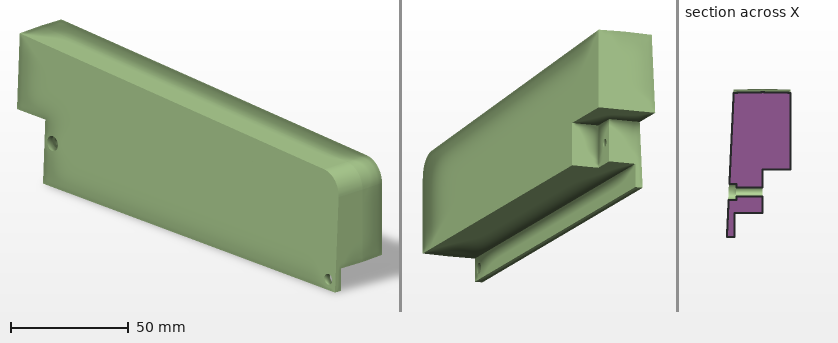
import cadquery as cq
import math

length = 199.3
depth = 27.3
height = 63.0

seam_depth = 12.0
side_draft_angle = 3.0
top_draft_angle = 1.2
top_slope_angle = 3.0
front_slope_angle = 2.7
corner_radius = 10.0

flange_back = 24.0
body_bottom = 10.2
notch_length = 17.5
back_notch_length = 29.9
notch_height = 28.7

left_hole_x = 22.5
left_hole_z = 19.3
left_hole_diameter = 3.5
left_counterbore_diameter = 6.5
left_counterbore_depth = 4.0
right_hole_x = 194.0
right_hole_z = 4.8
right_hole_diameter = 4.8

margin = 10.0


def draw_outline(plane, setback):
    """Outline at a given distance from the seam, closed beyond the left and bottom faces."""
    slope = math.radians(top_slope_angle)
    right = length - setback * math.tan(math.radians(side_draft_angle))
    top_left = height - setback * math.tan(math.radians(top_draft_angle))
    top_right = top_left - right * math.tan(slope)
    half_turn = (math.pi / 2 - slope) / 2
    tangent_length = corner_radius * math.tan(half_turn)
    centre_x = right - corner_radius
    centre_z = top_right - tangent_length
    arc_middle = (
        centre_x + corner_radius * math.cos(half_turn),
        centre_z + corner_radius * math.sin(half_turn),
    )
    arc_end = (
        right - tangent_length * math.cos(slope),
        top_right + tangent_length * math.sin(slope),
    )
    return (
        plane.moveTo(-margin, -margin)
        .lineTo(right, -margin)
        .lineTo(right, centre_z)
        .threePointArc(arc_middle, arc_end)
        .lineTo(-margin, top_left + margin * math.tan(slope))
        .close()
    )


def drafted_half(extent):
    """Half of the body, shrinking away from the seam; a positive extent runs toward the front."""
    seam_outline = draw_outline(cq.Workplane("XZ", origin=(0, -seam_depth, 0)), 0)
    end_plane = seam_outline.workplane(offset=extent, origin=(0, -seam_depth, 0))
    return draw_outline(end_plane, abs(extent)).loft(ruled=True)


def side_profile():
    """Depth profile with the leaning front face and the step behind the flange."""
    top = height + margin
    lean = top * math.tan(math.radians(front_slope_angle))
    return (
        cq.Workplane("YZ")
        .moveTo(0, body_bottom)
        .lineTo(-flange_back, body_bottom)
        .lineTo(-flange_back, 0)
        .lineTo(-depth, 0)
        .lineTo(-depth + lean, top)
        .lineTo(0, top)
        .close()
        .extrude(length)
    )


def hole(x, z, diameter, hole_depth):
    """Round cutter along Y, entering from the front."""
    return (
        cq.Workplane("XZ", origin=(x, 0, z))
        .workplane(offset=depth - hole_depth)
        .circle(diameter / 2)
        .extrude(hole_depth)
    )


def notch(cut_length, cut_depth):
    """Block that clears the lower left corner, from the back toward the front."""
    return cq.Workplane("XY").box(
        cut_length, cut_depth, notch_height, centered=False
    ).translate((0, -cut_depth, 0))


drafted_body = drafted_half(depth - seam_depth).union(drafted_half(-seam_depth))
body = drafted_body.intersect(side_profile())

body = body.cut(notch(notch_length, depth)).cut(notch(back_notch_length, seam_depth))

body = body.cut(hole(left_hole_x, left_hole_z, left_hole_diameter, depth))
body = body.cut(hole(left_hole_x, left_hole_z, left_counterbore_diameter, left_counterbore_depth))
body = body.cut(hole(right_hole_x, right_hole_z, right_hole_diameter, depth))

result = body